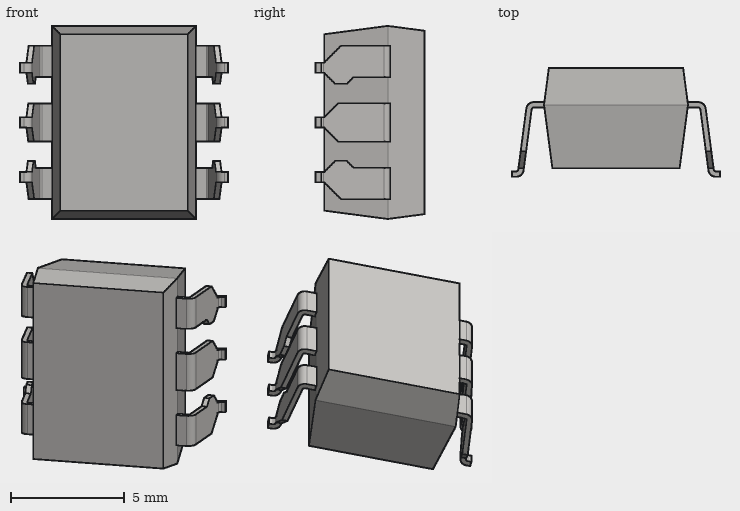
import cadquery as cq
import math

OVERALL_WIDTH = 9.16

HOUSING_WIDTH = 6.35
HOUSING_HEIGHT = 8.51
FRONT_DEPTH = 2.8
BACK_DEPTH = 1.62
DRAFT = 7.5

STRIP = 0.25
INNER_RADIUS = 0.1
OUTER_RADIUS = INNER_RADIUS + STRIP
FOOT_FLAT = 0.17
LEAD_REACH = 3.18

LEAD_PITCH = 2.54
LEAD_WIDTH = 1.69
FOOT_WIDTH = 0.46
OUTER_FOOT_Z = 2.41
SHOULDER_Y = -2.79
NECK_WIDTH = 1.38
NECK_END_Y = -1.5


def tapered_half(depth, direction):
    """One half of the housing, tapering from the parting plane along Y."""
    return (
        cq.Workplane("XZ")
        .rect(HOUSING_WIDTH, HOUSING_HEIGHT)
        .extrude(-direction * depth, taper=DRAFT)
    )


def make_housing():
    return tapered_half(FRONT_DEPTH, -1).union(tapered_half(BACK_DEPTH, 1)).solids()


def bent_strip():
    """Bent strip on the -X side, as tall as the housing and reaching in to its centre plane."""
    lean = math.radians(DRAFT)
    across = (math.cos(lean), -math.sin(lean))
    middle = math.radians((90 + DRAFT) / 2)

    foot_x = FOOT_FLAT - OVERALL_WIDTH / 2
    foot_y = OUTER_RADIUS - LEAD_REACH
    knee_y = -STRIP / 2 - INNER_RADIUS
    bend_spread = INNER_RADIUS + OUTER_RADIUS
    knee_x = foot_x + bend_spread / math.cos(lean) + (knee_y - foot_y) * math.tan(lean)

    def foot_point(radius, along=across):
        return (foot_x + radius * along[0], foot_y + radius * along[1])

    def knee_point(radius, along=across):
        return (knee_x - radius * along[0], knee_y - radius * along[1])

    halfway = (math.cos(middle), -math.sin(middle))
    tip_x = -OVERALL_WIDTH / 2
    profile = (
        cq.Workplane("XY", origin=(0, 0, -HOUSING_HEIGHT / 2))
        .moveTo(0, STRIP / 2)
        .lineTo(knee_x, STRIP / 2)
        .threePointArc(knee_point(OUTER_RADIUS, halfway), knee_point(OUTER_RADIUS))
        .lineTo(*foot_point(INNER_RADIUS))
        .threePointArc(foot_point(INNER_RADIUS, halfway), (foot_x, foot_y - INNER_RADIUS))
        .lineTo(tip_x, foot_y - INNER_RADIUS)
        .lineTo(tip_x, -LEAD_REACH)
        .lineTo(foot_x, -LEAD_REACH)
        .threePointArc(foot_point(OUTER_RADIUS, halfway), foot_point(OUTER_RADIUS))
        .lineTo(*knee_point(INNER_RADIUS))
        .threePointArc(knee_point(INNER_RADIUS, halfway), (knee_x, -STRIP / 2))
        .lineTo(0, -STRIP / 2)
        .close()
    )
    return profile.extrude(HOUSING_HEIGHT)


def lead_blank(outline):
    """Prism through the -X half, from an outline of (y, z) points."""
    return cq.Workplane("YZ").polyline(outline).close().extrude(-OVERALL_WIDTH / 2)


def middle_outline():
    half_lead = LEAD_WIDTH / 2
    half_foot = FOOT_WIDTH / 2
    shoulder_start = SHOULDER_Y + half_lead - half_foot
    upper = [
        (STRIP, half_lead),
        (shoulder_start, half_lead),
        (SHOULDER_Y, half_foot),
        (-LEAD_REACH, half_foot),
    ]
    return upper + [(y, -z) for y, z in reversed(upper)]


def outer_outline():
    """Upper outer lead: narrow neck, then a lobe on the side facing the middle lead."""
    top = LEAD_PITCH + LEAD_WIDTH / 2
    lobe = LEAD_PITCH - LEAD_WIDTH / 2
    neck = top - NECK_WIDTH
    foot_top = OUTER_FOOT_Z + FOOT_WIDTH / 2
    foot_bottom = OUTER_FOOT_Z - FOOT_WIDTH / 2
    return [
        (STRIP, top),
        (SHOULDER_Y + top - foot_top, top),
        (SHOULDER_Y, foot_top),
        (-LEAD_REACH, foot_top),
        (-LEAD_REACH, foot_bottom),
        (SHOULDER_Y, foot_bottom),
        (SHOULDER_Y + foot_bottom - lobe, lobe),
        (NECK_END_Y - (neck - lobe), lobe),
        (NECK_END_Y, neck),
        (STRIP, neck),
    ]


def make_leads(housing):
    """Three leads on the -X side, cut flush with the housing, and their mirror images on the +X side."""
    strip = bent_strip().cut(housing)
    upper = outer_outline()
    lower = [(y, -z) for y, z in upper]
    leads = []
    for outline in (upper, middle_outline(), lower):
        lead = strip.intersect(lead_blank(outline)).solids()
        leads.append(lead.val())
        leads.append(lead.mirror("YZ").val())
    return leads


housing = make_housing()
leads = make_leads(housing)

result = cq.Compound.makeCompound([housing.val(), *leads])